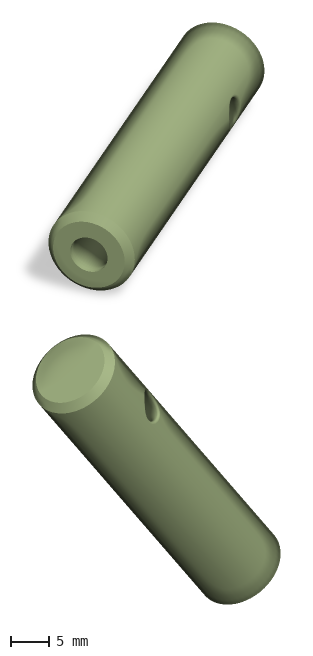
import cadquery as cq
import math

length = 50.8
diameter = 12.0
end_chamfer = 1.0

cross_hole_diameter = 4.0
cross_hole_end_distance = 12.0
mouth_fillet = 0.3

bore_diameter = 5.2
bore_depth = 12.7
drill_point_angle = 118.0

radius = diameter / 2
front_y = -length / 2
cross_hole_y = length / 2 - cross_hole_end_distance


def make_body():
    body = cq.Workplane("XZ", origin=(0, length / 2, 0)).circle(radius).extrude(length)
    return body.faces("<Y or >Y").chamfer(end_chamfer)


def make_bore():
    bore_radius = bore_diameter / 2
    point_depth = bore_radius / math.tan(math.radians(drill_point_angle / 2))
    shoulder_y = front_y + bore_depth
    profile = (
        cq.Workplane("XY")
        .moveTo(0, front_y)
        .lineTo(bore_radius, front_y)
        .lineTo(bore_radius, shoulder_y)
        .lineTo(0, shoulder_y + point_depth)
        .close()
    )
    return profile.revolve(360, (0, 0, 0), (0, 1, 0))


def make_cross_hole():
    start = cq.Workplane("YZ", origin=(0, cross_hole_y, 0))
    return start.circle(cross_hole_diameter / 2).extrude(diameter, both=True)


def round_mouths(part):
    reach = cross_hole_diameter
    box_low = (-diameter, cross_hole_y - reach, -radius)
    box_high = (diameter, cross_hole_y + reach, radius)
    mouths = part.edges(cq.selectors.BoxSelector(box_low, box_high)).edges("not %LINE")
    return mouths.fillet(mouth_fillet)


pin = make_body().cut(make_cross_hole())
result = round_mouths(pin).cut(make_bore())